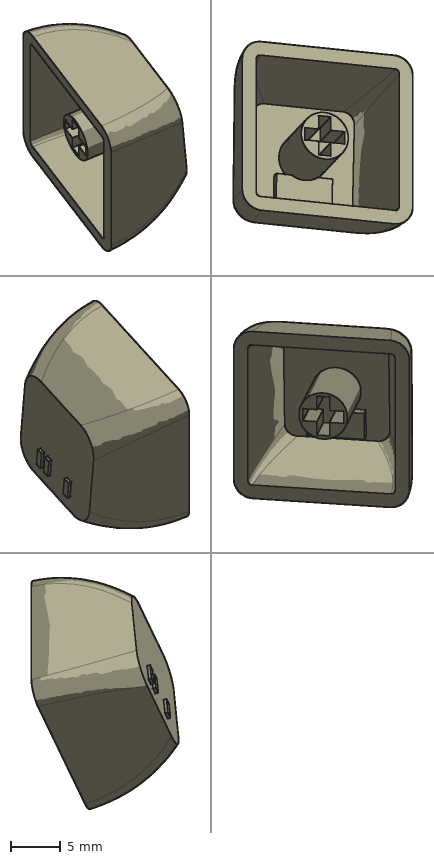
import cadquery as cq
import math


roof_tilt = 4.0
roof_y = 10.1
roof_thickness = 1.5
rim_size = 18.1
rim_radius = 2.01
roof_size = 12.67
roof_radius = 2.68

mouth_size = 15.17
mouth_radius = 0.45
floor_size = 10.85
floor_radius = 1.27
floor_y = roof_y - roof_thickness

stem_diameter = 5.0
stem_front_y = 1.0
cross_length = 4.2
cross_width = 1.3
cross_depth = 3.62

plate_width = 5.94
plate_height = 2.9
plate_z = -3.45
plate_thickness = 0.9
bar_spans = [(-2.86, -2.06), (0.8, 1.54), (2.14, 2.86)]
bar_height = 2.1
bar_z = -3.55
bar_raise = 0.3


def tilted_plane(y, tilt):
    """Plane crossing the central axis at y, facing the rim, with its local Y pointing up."""
    angle = math.radians(tilt)
    return cq.Plane(origin=(0, y, 0), xDir=(1, 0, 0), normal=(0, -math.cos(angle), -math.sin(angle)))


def rounded_square(plane, size, radius):
    sketch = cq.Sketch().rect(size, size).vertices().fillet(radius)
    return sketch.reset().faces().val().outerWire().moved(cq.Location(plane))


def bulged_loft(end_y, start_size, start_radius, end_size, end_radius):
    """Solid whose sides leave the rim square to it and curve inwards as a parabola."""
    wires = []
    for fraction in (0, 0.5, 1):
        blend = fraction ** 2
        plane = tilted_plane(end_y * fraction, roof_tilt * fraction)
        size = start_size + (end_size - start_size) * blend
        radius = start_radius + (end_radius - start_radius) * blend
        wires.append(rounded_square(plane, size, radius))
    return cq.Workplane(cq.Solid.makeLoft(wires))


def make_stem():
    length = roof_y - roof_thickness / 2 - stem_front_y
    front = cq.Workplane("XZ", origin=(0, stem_front_y, 0))
    post = front.circle(stem_diameter / 2).extrude(-length)
    across = front.rect(cross_length, cross_width).extrude(-cross_depth)
    upright = front.rect(cross_width, cross_length).extrude(-cross_depth)
    return post, across.union(upright)


def make_legend():
    floor = cq.Workplane(tilted_plane(floor_y, roof_tilt))
    plate = floor.center(0, plate_z).rect(plate_width, plate_height)
    legend = plate.extrude(plate_thickness)
    for left, right in bar_spans:
        bar = floor.center((left + right) / 2, bar_z).rect(right - left, bar_height)
        legend = legend.union(bar.extrude(-(roof_thickness + bar_raise)))
    return legend


def make_cap(legend):
    shell = bulged_loft(roof_y, rim_size, rim_radius, roof_size, roof_radius)
    cavity = bulged_loft(floor_y, mouth_size, mouth_radius, floor_size, floor_radius)
    post, cross = make_stem()
    return shell.cut(cavity).cut(legend).union(post.cut(legend)).cut(cross)


legend = make_legend()
cap = make_cap(legend)

result = cq.Compound.makeCompound([cap.solids().val(), legend.solids().val()])